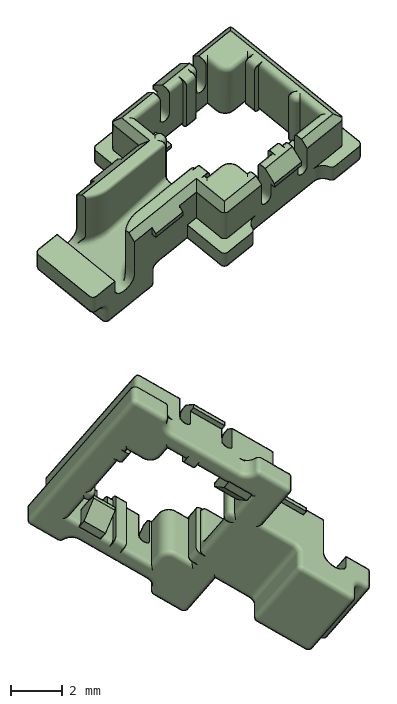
import cadquery as cq
import math

total_length = 12.8
top_z = 3.0
edge_round = 0.2
top_chamfer = 0.31
overlap = 0.13
margin = 0.01

flange_width = 7.3
flange_back_y = 3.8
flange_front_y = -3.8
flange_height = 1.0
notch_half_length = 1.63
notch_radius = 0.5

ring_width = 6.3
ring_length = 6.6
opening_width = 4.9
opening_length = 5.18
corner_block_x = 1.48
corner_block_y = 1.35
corner_block_radius = 0.5
pillar_x = 1.15
pillar_reach = 0.24

slot_width = 0.5
slot_spacing = 2.0
slot_bottom_z = 1.25
tab_reach = 0.2
tab_bottom_z = 2.25
key_width = 0.51
key_reach = 0.2
end_key_x = 1.15
side_key_y = 0.24

ledge_tip_x = 1.59
ledge_top_z = flange_height
ledge_tip_height = 0.2
ledge_slope_run = 0.65
back_ledge_y = (1.0, 2.02)
front_ledge_inner_y = -1.5

tail_width = 3.2
tail_end_y = flange_back_y - total_length
foot_front_y = -5.57
foot_back_y = -8.3
foot_bottom_z = -1.3
foot_back_radius = 0.49
lip_top_z = 1.11
cross_slot_y = -7.25
cross_slot_radius = 0.54
tail_tab_y = -4.99

channel_width = 1.5
channel_flare_y = -5.75
channel_flare_radius = 1.5
channel_top_round = 0.13
channel_end_y = -7.13
floor_angle = 8.0

ring_x = ring_width / 2
ring_y = ring_length / 2
opening_x = opening_width / 2
opening_y = opening_length / 2
tail_x = tail_width / 2
tail_start_y = top_chamfer - ring_y
tab_length = slot_spacing - slot_width


def block(x_range, y_range, z_range):
    """Axis-aligned box between the given limits."""
    ranges = (x_range, y_range, z_range)
    size = [max(limits) - min(limits) for limits in ranges]
    corner = tuple(min(limits) for limits in ranges)
    return cq.Workplane("XY").box(*size, centered=False).translate(corner)


def inside(half_width, y_range, z_range):
    """Selector for everything centred in a box that is symmetric about X = 0."""
    return cq.selectors.BoxSelector(
        (-half_width, min(y_range), min(z_range)), (half_width, max(y_range), max(z_range))
    )


def both_sides(shape):
    """The shape together with its mirror image across X = 0."""
    return shape.union(shape.mirror("YZ"))


def both_corners(shape):
    """The shape together with its copy turned half a turn about the ring axis."""
    return shape.union(shape.rotate((0, 0, 0), (0, 0, 1), 180))


def flange():
    """Flange plate with a smoothly rounded notch in each side."""
    plate = block(
        (-flange_width / 2, flange_width / 2), (flange_front_y, flange_back_y), (0, flange_height)
    ).edges("|Z").fillet(edge_round)

    convex_x = flange_width / 2 - edge_round
    concave_x = ring_x + notch_radius
    centre_distance = edge_round + notch_radius
    convex_y = notch_half_length + math.sqrt(centre_distance**2 - (concave_x - convex_x) ** 2)
    blend = edge_round / centre_distance
    join_x = convex_x + (concave_x - convex_x) * blend
    join_y = convex_y - (convex_y - notch_half_length) * blend
    notch = (
        cq.Workplane("XY")
        .moveTo(flange_width / 2 + overlap, 0)
        .lineTo(flange_width / 2 + overlap, convex_y + overlap)
        .lineTo(flange_width / 2, convex_y + overlap)
        .lineTo(flange_width / 2, convex_y)
        .tangentArcPoint((join_x, join_y), relative=False)
        .tangentArcPoint((ring_x, notch_half_length), relative=False)
        .lineTo(ring_x, 0)
        .close()
        .extrude(flange_height)
    )
    notch = notch.union(notch.mirror("XZ"))
    return plate.cut(both_sides(notch)).faces("<Z").edges().fillet(edge_round)


def ring_body():
    """Ring block with rounded upright corners and a chamfer around its top."""
    height = top_z - flange_height + overlap
    rounded = cq.Workplane("XY").box(ring_width, ring_length, height).edges("|Z").fillet(edge_round)
    chamfered = cq.Workplane("XY").box(ring_width, ring_length, height).faces(">Z").chamfer(top_chamfer)
    return rounded.intersect(chamfered).translate((0, 0, top_z - height / 2))


def opening():
    """Through opening, leaving two corner blocks and two pillars."""
    hole = block((-opening_x, opening_x), (-opening_y, opening_y), (0, top_z))
    corner_block = (
        block((-opening_x - overlap, -corner_block_x), (corner_block_y, opening_y + overlap), (0, top_z))
        .edges("|Z and >X and <Y")
        .fillet(corner_block_radius)
    )
    pillar = block(
        (pillar_x - key_width / 2, pillar_x + key_width / 2),
        (opening_y - pillar_reach, opening_y + overlap),
        (0, top_z),
    )
    return hole.cut(both_corners(corner_block)).cut(both_corners(pillar))


def tail():
    """Tail with its foot and rear lip, before the channel is cut."""
    body = (
        cq.Workplane("YZ")
        .moveTo(tail_start_y, 0)
        .lineTo(foot_front_y + edge_round, 0)
        .tangentArcPoint((foot_front_y, -edge_round), relative=False)
        .lineTo(foot_front_y, foot_bottom_z)
        .lineTo(foot_back_y, foot_bottom_z)
        .lineTo(foot_back_y, -foot_back_radius)
        .tangentArcPoint((foot_back_y - foot_back_radius, 0), relative=False)
        .lineTo(tail_end_y, 0)
        .lineTo(tail_end_y, top_z)
        .lineTo(tail_start_y, top_z)
        .close()
        .extrude(tail_x, both=True)
    )
    lip_bottom = cq.selectors.BoxSelector(
        (-overlap, tail_end_y - overlap, -overlap), (overlap, tail_end_y + overlap, overlap)
    )
    side_edges = body.faces("<X or >X").edges("not(>Z or >Y)")
    cross_edges = body.edges("|X and <Z").add(body.edges("|X").edges(lip_bottom))
    body = side_edges.add(cross_edges).fillet(edge_round)
    body = body.faces(">Z").edges("|Y").chamfer(top_chamfer)

    above_lip = block((-tail_x, tail_x), (tail_end_y, cross_slot_y), (lip_top_z, top_z))
    return body.cut(above_lip).cut(cross_slot())


def cross_slot():
    """Round-bottomed slot across the tail, resting on Z = 0."""
    return (
        cq.Workplane("YZ")
        .center(cross_slot_y, cross_slot_radius)
        .circle(cross_slot_radius)
        .extrude(tail_width)
        .translate((-tail_x, 0, 0))
        .union(
            block(
                (-tail_x, tail_x),
                (cross_slot_y - cross_slot_radius, cross_slot_y + cross_slot_radius),
                (cross_slot_radius, top_z),
            )
        )
    )


def channel():
    """Flared channel from the opening to the cross slot, on a floor sloping down to the slot."""
    slope = math.radians(floor_angle)
    slot_angle = math.asin((channel_end_y - cross_slot_y) / cross_slot_radius)
    end_z = cross_slot_radius * (1 - math.cos(slot_angle))
    half = channel_width / 2
    flare_turn = math.asin((channel_flare_y - channel_end_y) / channel_flare_radius)
    end_x = half + channel_flare_radius * (1 - math.cos(flare_turn))
    start_y = -opening_y + pillar_reach
    start_z = end_z + (start_y - channel_end_y) * math.tan(slope)
    outline = (
        cq.Workplane("XY")
        .moveTo(0, start_y)
        .lineTo(half, start_y)
        .lineTo(half, channel_flare_y)
        .tangentArcPoint((end_x, channel_end_y), relative=False)
        .lineTo(0, channel_end_y)
        .close()
    )
    below_floor = (
        cq.Workplane("YZ")
        .polyline([
            (start_y, start_z),
            (channel_end_y, end_z),
            (channel_end_y, -overlap),
            (start_y, -overlap),
        ])
        .close()
        .extrude(tail_width, both=True)
    )
    cutter = both_sides(outline.extrude(top_z)).cut(below_floor)
    return cutter.faces("<Z").edges("not(<Y or >Y)").fillet(edge_round)


def side_slots():
    """Two round-bottomed slots through both side walls of the ring."""
    slots = cq.Workplane("XY")
    radius = slot_width / 2
    for y in (-slot_spacing / 2, slot_spacing / 2):
        slots = slots.union(
            cq.Workplane("YZ")
            .center(y, slot_bottom_z + radius)
            .circle(radius)
            .extrude(ring_width, both=True)
        ).union(
            block((-ring_width, ring_width), (y - radius, y + radius), (slot_bottom_z + radius, top_z))
        )
    return slots


def clip_tabs(wall_x, y):
    """Pair of hooked tabs whose slope continues the top chamfer."""
    chamfer_z = top_z - top_chamfer
    tab = (
        cq.Workplane("XZ")
        .polyline([
            (wall_x - top_chamfer, top_z),
            (wall_x + tab_reach, chamfer_z - tab_reach),
            (wall_x + tab_reach, tab_bottom_z),
            (wall_x - top_chamfer, tab_bottom_z),
        ])
        .close()
        .extrude(tab_length / 2, both=True)
        .translate((0, y, 0))
    )
    return both_sides(tab)


def key(wall_distance):
    """Upright key on a wall facing -Y, with rounded top and bottom edges."""
    return (
        block(
            (-key_width / 2, key_width / 2),
            (wall_distance - key_reach, wall_distance + edge_round),
            (0, top_z),
        )
        .faces("<Y")
        .edges("|X")
        .fillet(edge_round)
    )


def keys():
    """One key on each of the four walls of the opening."""
    end_keys = both_corners(key(opening_y).translate((-end_key_x, 0, 0)))
    side_key = key(opening_x).rotate((0, 0, 0), (0, 0, 1), -90).translate((0, side_key_y, 0))
    return end_keys.union(both_sides(side_key))


def ledge(y_range):
    """Ledge on the +X wall with a thin tip and a sloping underside."""
    return (
        cq.Workplane("XZ")
        .polyline([
            (opening_x + overlap, ledge_top_z),
            (ledge_tip_x, ledge_top_z),
            (ledge_tip_x, ledge_top_z - ledge_tip_height),
            (ledge_tip_x + ledge_slope_run, 0),
            (opening_x + overlap, 0),
        ])
        .close()
        .extrude(min(y_range) - max(y_range))
        .translate((0, min(y_range), 0))
    )


def ring_with_opening():
    """Flange and ring with the opening cut, its rims and the pillar corners rounded."""
    body = flange().union(ring_body()).cut(opening())
    wall_y = opening_y + margin
    inner_edges = body.edges(inside(opening_x + margin, (-wall_y, wall_y), (-margin, top_z + margin)))
    rims = inner_edges.edges("<Z or >Z")
    pillar_face_y = opening_y - pillar_reach
    pillar_corners = inner_edges.edges("|Z").filter(
        lambda edge: math.isclose(abs(edge.Center().y), pillar_face_y, abs_tol=margin)
    )
    return rims.add(pillar_corners).fillet(edge_round)


def round_channel_top(body):
    """Round the upper channel edges; the rounding runs on around the channel mouth."""
    top_edges = inside(
        tail_x - top_chamfer - margin, (cross_slot_y, -opening_y), (top_z - margin, top_z + margin)
    )
    return body.edges(top_edges).edges("not |X").fillet(channel_top_round)


result = ring_with_opening().union(tail()).cut(channel())
result = round_channel_top(result)
result = result.cut(side_slots())
result = result.union(clip_tabs(ring_x, 0)).union(clip_tabs(tail_x, tail_tab_y))
result = result.union(keys())
result = result.union(ledge(back_ledge_y))
result = result.union(ledge((front_ledge_inner_y, -opening_y)).mirror("YZ"))